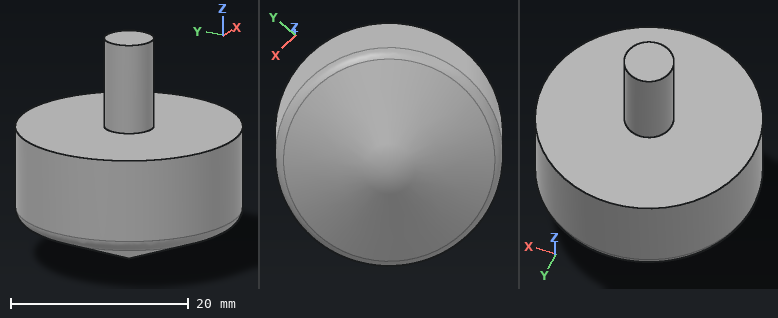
import cadquery as cq
import math

total_height = 26.1
body_diameter = 25.65
stem_diameter = 5.6
stem_length = 10.41
cone_slope = 22.0
rim_radius = 1.5

body_radius = body_diameter / 2
stem_radius = stem_diameter / 2
shoulder_height = total_height - stem_length
cone_height = body_radius * math.tan(math.radians(cone_slope))


def make_body():
    """Cylinder with a pointed conical underside and a rounded lower rim."""
    body = (
        cq.Workplane("XZ")
        .lineTo(body_radius, cone_height)
        .lineTo(body_radius, shoulder_height)
        .lineTo(0, shoulder_height)
        .close()
        .revolve(360, (0, 0, 0), (0, 1, 0))
    )
    return body.edges("%CIRCLE").edges("<Z").fillet(rim_radius)


def make_stem():
    """Plain round stem standing on the flat top of the body."""
    return cq.Workplane("XY").workplane(offset=shoulder_height).circle(stem_radius).extrude(stem_length)


result = make_body().union(make_stem())